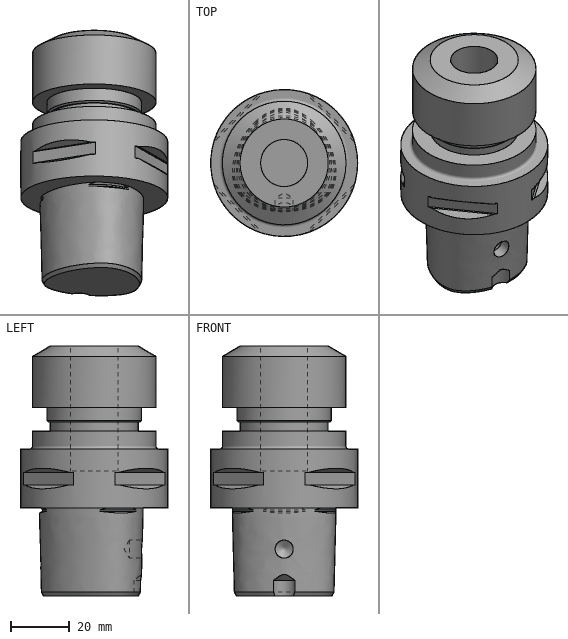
import cadquery as cq
import math


total_height = 85.0
straight_shank_z = 26.9
flange_bottom_z = 30.0
flange_top_z = 50.0
collar_top_z = 56.0
neck_top_z = 59.1
ring_chamfer_top_z = 59.7
nut_bottom_z = 64.0
nut_chamfer_bottom_z = 81.4

flange_radius = 25.0
nut_radius = 21.0
nut_face_radius = 15.0
collar_radius = nut_radius
collar_fillet = 1.0
neck_radius = 15.0
ring_radius = 16.1
ring_chamfer_radius = 15.5
bore_radius = 8.0
bore_depth = 42.5

shank_mean_radius = 17.6
lobe_height = 1.0
taper_ratio = 20.0
tip_chamfer_height = 1.4
tip_chamfer_depth = 0.8
profile_points = 72

groove_floor_radius = 17.7
groove_floor_top_z = 29.3
groove_floor_bottom_z = 28.8
groove_bottom_z = 28.05
groove_top_radius = 18.1
groove_outer_radius = 18.9

slot_count = 4
slot_first_angle = 45.0
slot_floor_distance = 21.9
slot_flare_distance = 22.6
slot_floor_height = 4.25
slot_mid_z = 39.95
slot_flare = 30.0
slot_cut_margin = 1.7

cross_hole_z = 16.0
cross_hole_radius = 3.1
cross_hole_floor_y = -11.9
cross_hole_tip_angle = 120.0
notch_radius = 4.0
notch_axis_y = -17.4
notch_tip_angle = 105.0
notch_shoulder_z = 5.35


def turned_body():
    fillet_bulge = collar_fillet * (1 - math.sqrt(0.5))
    return (
        cq.Workplane("XZ")
        .moveTo(0, flange_bottom_z)
        .lineTo(flange_radius, flange_bottom_z)
        .lineTo(flange_radius, flange_top_z)
        .lineTo(collar_radius + collar_fillet, flange_top_z)
        .threePointArc(
            (collar_radius + fillet_bulge, flange_top_z + fillet_bulge),
            (collar_radius, flange_top_z + collar_fillet),
        )
        .lineTo(collar_radius, collar_top_z)
        .lineTo(neck_radius, collar_top_z)
        .lineTo(neck_radius, neck_top_z)
        .lineTo(ring_chamfer_radius, neck_top_z)
        .lineTo(ring_radius, ring_chamfer_top_z)
        .lineTo(ring_radius, nut_bottom_z)
        .lineTo(nut_radius, nut_bottom_z)
        .lineTo(nut_radius, nut_chamfer_bottom_z)
        .lineTo(nut_face_radius, total_height)
        .lineTo(0, total_height)
        .close()
        .revolve(360, (0, 0, 0), (0, 1, 0))
    )


def polygon_wire(mean_radius, z):
    """Closed curve of constant width with three rounded lobes."""
    points = []
    for i in range(profile_points):
        t = 2 * math.pi * i / profile_points
        along = mean_radius * math.cos(t) - 2 * lobe_height * math.cos(2 * t) + lobe_height * math.cos(4 * t)
        across = mean_radius * math.sin(t) + 2 * lobe_height * math.sin(2 * t) + lobe_height * math.sin(4 * t)
        points.append(cq.Vector(across, -along, z))
    return cq.Wire.assembleEdges([cq.Edge.makeSpline(points, periodic=True)])


def polygon_section(bottom_radius, bottom_z, top_radius, top_z):
    wires = [polygon_wire(bottom_radius, bottom_z), polygon_wire(top_radius, top_z)]
    return cq.Workplane(obj=cq.Solid.makeLoft(wires, True))


def shank():
    taper_length = straight_shank_z - tip_chamfer_height
    small_radius = shank_mean_radius - taper_length / taper_ratio / 2
    tip = polygon_section(small_radius - tip_chamfer_depth, 0, small_radius, tip_chamfer_height)
    taper = polygon_section(small_radius, tip_chamfer_height, shank_mean_radius, straight_shank_z)
    straight = polygon_section(shank_mean_radius, straight_shank_z, shank_mean_radius, flange_bottom_z)
    return tip.union(taper).union(straight)


def lobe_groove():
    return (
        cq.Workplane("XZ")
        .polyline([
            (groove_floor_radius, groove_floor_bottom_z),
            (groove_outer_radius, groove_bottom_z),
            (groove_outer_radius, flange_bottom_z),
            (groove_top_radius, flange_bottom_z),
            (groove_floor_radius, groove_floor_top_z),
        ])
        .close()
        .revolve(360, (0, 0, 0), (0, 1, 0))
    )


def gripper_slot(angle):
    outer_distance = flange_radius + slot_cut_margin
    floor_half = slot_floor_height / 2
    mouth_half = floor_half + (outer_distance - slot_flare_distance) * math.tan(math.radians(slot_flare))
    return (
        cq.Workplane("XZ")
        .polyline([
            (slot_floor_distance, slot_mid_z - floor_half),
            (slot_flare_distance, slot_mid_z - floor_half),
            (outer_distance, slot_mid_z - mouth_half),
            (outer_distance, slot_mid_z + mouth_half),
            (slot_flare_distance, slot_mid_z + floor_half),
            (slot_floor_distance, slot_mid_z + floor_half),
        ])
        .close()
        .extrude(flange_radius, both=True)
        .rotate((0, 0, 0), (0, 0, 1), angle)
    )


def drill(radius, length, tip_angle):
    """Pointed drill along +Z, with its full diameter ending at the given length."""
    tip_length = radius / math.tan(math.radians(tip_angle / 2))
    return (
        cq.Workplane("XZ")
        .polyline([(0, 0), (radius, 0), (radius, length), (0, length + tip_length)])
        .close()
        .revolve(360, (0, 0, 0), (0, 1, 0))
    )


def cross_hole():
    hole_start_y = -flange_radius
    hole = drill(cross_hole_radius, cross_hole_floor_y - hole_start_y, cross_hole_tip_angle)
    return hole.rotate((0, 0, 0), (1, 0, 0), -90).translate((0, hole_start_y, cross_hole_z))


def key_notch():
    return drill(notch_radius, notch_shoulder_z, notch_tip_angle).translate((0, notch_axis_y, 0))


def bore():
    return cq.Workplane("XY").workplane(offset=total_height).circle(bore_radius).extrude(-bore_depth)


shank_body = shank().cut(lobe_groove()).cut(cross_hole()).cut(key_notch())
result = turned_body().union(shank_body).cut(bore())
for i in range(slot_count):
    result = result.cut(gripper_slot(slot_first_angle + i * 360 / slot_count))
result = cq.Workplane(obj=result.val().Solids()[0])